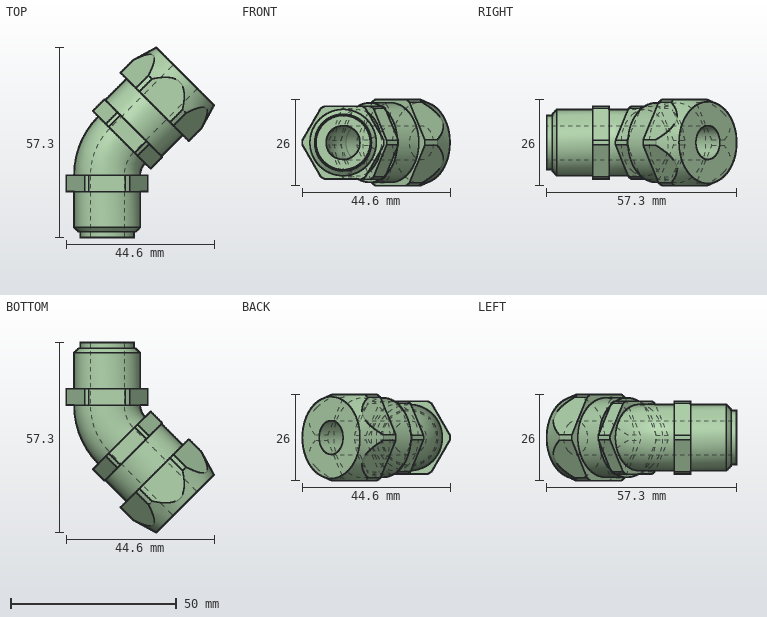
import cadquery as cq
import math

bore_dia = 10.2
nose_dia = 16.3
chamfer_tip_dia = 17.15
pipe_dia = 20.0
nose_end = 1.7
chamfer_end = 3.1
inlet_hex_start = 13.85

small_hex_flats = 22.0
small_hex_corners = 24.65
small_hex_length = 5.0
bend_start = inlet_hex_start + small_hex_length

bend_angle = 45
bend_radius = 15.0

collar_dia = 24.0
nut_start = 14.05
nut_end = 27.05
nut_flats = 26.0
nut_corners = 29.1
nut_mouth_dia = 24.65
nut_taper_length = 7.6

angle = math.radians(bend_angle)
bend_end = (bend_radius * (1 - math.cos(angle)), bend_start + bend_radius * math.sin(angle), 0)
inlet_plane = cq.Plane(origin=(0, 0, 0), xDir=(1, 0, 0), normal=(0, 1, 0))
bend_plane = cq.Plane(origin=(0, bend_start, 0), xDir=(1, 0, 0), normal=(0, 1, 0))
outlet_plane = cq.Plane(
    origin=bend_end,
    xDir=(math.cos(angle), -math.sin(angle), 0),
    normal=(math.sin(angle), math.cos(angle), 0),
)


def cylinder(plane, diameter, start, end):
    return cq.Workplane(plane).workplane(offset=start).circle(diameter / 2).extrude(end - start)


def hexagon(plane, flats, corners, start, end):
    """Hexagonal prism whose sharp corners are turned down to a cylinder."""
    sharp_corners = flats / math.cos(math.pi / 6)
    prism = cq.Workplane(plane).workplane(offset=start).polygon(6, sharp_corners).extrude(end - start)
    return prism.intersect(cylinder(plane, corners, start, end))


def elbow(diameter):
    """Solid round bend that turns from +Y towards +X."""
    return (
        cq.Workplane(bend_plane)
        .circle(diameter / 2)
        .revolve(bend_angle, (bend_radius, -0.6, 0), (bend_radius, 0.6, 0))
    )


def cone(plane, start_dia, end_dia, start, end):
    profile = cq.Workplane(plane).workplane(offset=start).circle(start_dia / 2)
    return profile.workplane(offset=end - start).circle(end_dia / 2).loft()


def inlet():
    nose = cylinder(inlet_plane, nose_dia, 0, nose_end)
    chamfer = cone(inlet_plane, chamfer_tip_dia, pipe_dia, nose_end, chamfer_end)
    pipe = cylinder(inlet_plane, pipe_dia, chamfer_end, bend_start)
    grip = hexagon(inlet_plane, small_hex_flats, small_hex_corners, inlet_hex_start, bend_start)
    return nose.union(chamfer).union(pipe).union(grip)


def nut():
    """Large hexagon tapering to a round mouth."""
    taper_start = nut_end - nut_taper_length
    body = hexagon(outlet_plane, nut_flats, nut_corners, nut_start, nut_end)
    envelope = cylinder(outlet_plane, nut_corners, nut_start, taper_start).union(
        cone(outlet_plane, nut_corners, nut_mouth_dia, taper_start, nut_end)
    )
    return body.intersect(envelope)


def outlet():
    grip = hexagon(outlet_plane, small_hex_flats, small_hex_corners, 0, small_hex_length)
    collar = cylinder(outlet_plane, collar_dia, small_hex_length, nut_start)
    return grip.union(collar).union(nut())


def bore():
    """Constant passage from the inlet nose to the nut mouth."""
    straight_in = cylinder(inlet_plane, bore_dia, 0, bend_start)
    straight_out = cylinder(outlet_plane, bore_dia, 0, nut_end)
    return straight_in.union(elbow(bore_dia)).union(straight_out)


result = inlet().union(elbow(pipe_dia)).union(outlet()).cut(bore())